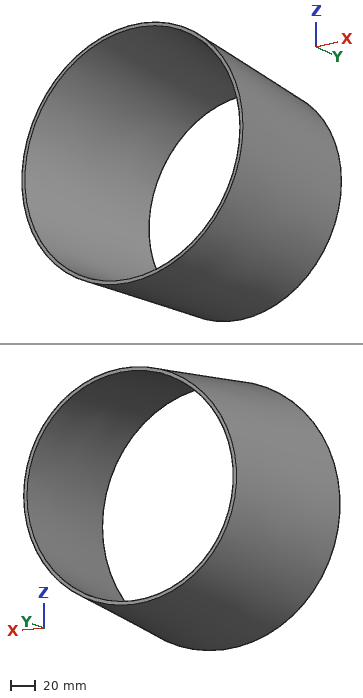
import cadquery as cq

wide_diameter = 219.0
narrow_diameter = 193.7
length = 152.0
wall = 3.0


def cone(wide_radius, narrow_radius):
    """Solid frustum along Y, centred on the origin and narrowing toward +Y."""
    half_length = length / 2
    profile = [
        (0, -half_length),
        (wide_radius, -half_length),
        (narrow_radius, half_length),
        (0, half_length),
    ]
    return cq.Workplane("XY").polyline(profile).close().revolve(360, (0, 0, 0), (0, 1, 0))


wide_radius = wide_diameter / 2
narrow_radius = narrow_diameter / 2

outer = cone(wide_radius, narrow_radius)
bore = cone(wide_radius - wall, narrow_radius - wall)

result = outer.cut(bore)